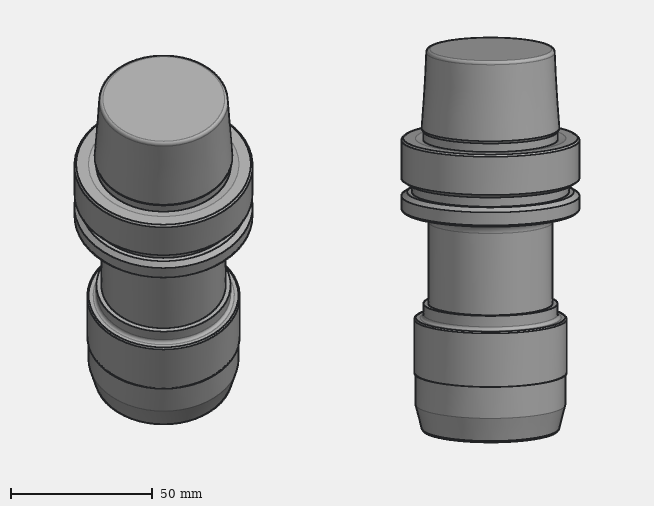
import cadquery as cq
import math

total_length = 136.9
flange_top = 104.9
flange_thickness = 26.0
flange_bottom = flange_top - flange_thickness

nut_radius = 27.0
nut_top = 40.4
nut_edge = 0.5
nose_radius = 26.5
nose_top = 20.5
cone_top = 9.3
cone_tip_radius = 24.4
tip_edge = 0.7
tip_face_radius = 23.8
collar_radius = 23.7
collar_top = 45.5
collar_root_fillet = 1.2

stem_diameter = 44.0
stem_radius = stem_diameter / 2
stem_fillet = 4.0

flange_radius = 31.5
flange_edge = 0.7
groove_radius = 27.8
groove_lip_radius = 29.5
groove_bottom = 85.5
groove_top = 89.1
groove_bevel = 1.4

relief_radius = 26.5
relief_depth = 0.4

neck_radius = 23.8
neck_top = 107.5
lip_height = 1.0
taper_large_radius = 24.4
taper_small_radius = 22.7
shank_edge = 1.2
shank_face_radius = taper_small_radius - shank_edge

stem_arc_offset = stem_fillet * (1 - math.sqrt(0.5))
stem_arc_mid = (stem_radius + stem_arc_offset, flange_bottom - stem_arc_offset)

collar_arc_offset = collar_root_fillet * (1 - math.sqrt(0.5))
collar_arc_mid = (collar_radius + collar_arc_offset, nut_top + collar_arc_offset)

shank_arc_offset = shank_edge * math.sqrt(0.5)
shank_arc_mid = (shank_face_radius + shank_arc_offset, total_length - shank_edge + shank_arc_offset)

profile = (
    cq.Workplane("XZ")
    .moveTo(0, 0)
    .lineTo(tip_face_radius, 0)
    .lineTo(cone_tip_radius, tip_edge)
    .lineTo(nose_radius, cone_top)
    .lineTo(nose_radius, nose_top)
    .lineTo(nut_radius, nose_top)
    .lineTo(nut_radius, nut_top - nut_edge)
    .lineTo(nut_radius - nut_edge, nut_top)
    .lineTo(collar_radius + collar_root_fillet, nut_top)
    .threePointArc(collar_arc_mid, (collar_radius, nut_top + collar_root_fillet))
    .lineTo(collar_radius, collar_top)
    .lineTo(stem_radius, collar_top)
    .lineTo(stem_radius, flange_bottom - stem_fillet)
    .threePointArc(stem_arc_mid, (stem_radius + stem_fillet, flange_bottom))
    .lineTo(flange_radius - flange_edge, flange_bottom)
    .lineTo(flange_radius, flange_bottom + flange_edge)
    .lineTo(flange_radius, groove_bottom - groove_bevel)
    .lineTo(groove_lip_radius, groove_bottom)
    .lineTo(groove_radius, groove_bottom)
    .lineTo(groove_radius, groove_top)
    .lineTo(groove_lip_radius, groove_top)
    .lineTo(flange_radius, groove_top + groove_bevel)
    .lineTo(flange_radius, flange_top - flange_edge)
    .lineTo(flange_radius - flange_edge, flange_top)
    .lineTo(relief_radius, flange_top)
    .lineTo(neck_radius, flange_top - relief_depth)
    .lineTo(neck_radius, neck_top)
    .lineTo(taper_large_radius, neck_top + lip_height)
    .lineTo(taper_small_radius, total_length - shank_edge)
    .threePointArc(shank_arc_mid, (shank_face_radius, total_length))
    .lineTo(0, total_length)
    .close()
)

result = profile.revolve(360, (0, 0, 0), (0, 1, 0))